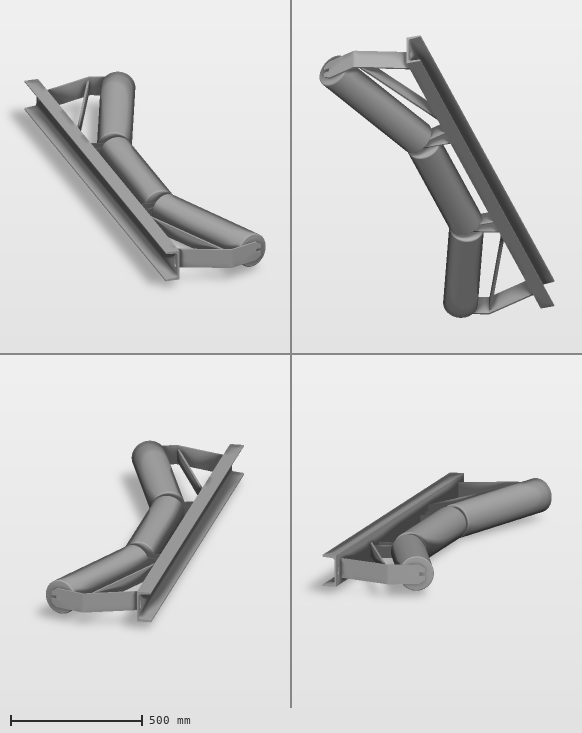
import cadquery as cq
import math


BEAM_LENGTH = 1700.0
BEAM_HEIGHT = 120.0
FLANGE_WIDTH = 55.0
WEB_THICKNESS = 7.0
FLANGE_THICKNESS = 9.0
FLANGE_SLOPE = 0.08
ROOT_RADIUS = 9.0
TIP_RADIUS = 4.5
MOUNT_SLOT_INSET = 30.0
MOUNT_SLOT_WIDTH = 18.0
MOUNT_SLOT_HEIGHT = 36.0

ROLLER_DIAMETER = 133.0
ROLLER_LENGTH = 535.0
ROLLER_EDGE_RADIUS = 5.0
SHAFT_DIAMETER = 20.0
SHAFT_FLAT_WIDTH = 14.0
ROLLER_GAP = 4.5
TROUGH_ANGLE = 20.0
TILT_ANGLE = 2.0
MIDDLE_ROLLER_Y = 118.0
MIDDLE_ROLLER_Z = -19.1
SIDE_ROLLER_END_X = 809.3
SIDE_ROLLER_END_Y = 307.8
SIDE_ROLLER_END_Z = 0.4

OUTER_WIDTH = 75.0
INNER_WIDTH = 50.0
OUTER_THICKNESS = 8.0
INNER_THICKNESS = 6.0
OUTER_REACH = 32.0
INNER_TOP_Y = 147.0
OUTER_EXTREME_X = 857.925
OUTER_BEND_RADIUS = 15.0
INNER_BEND_RADIUS = 9.0
TOP_CHAMFER_ALONG = 23.0
TOP_CHAMFER_ACROSS = 15.0
BRACE_THICKNESS = 8.0
BRACE_WIDTH = 50.0
BRACE_ANGLE = 23.5
BRACE_FOOT_X = 385.0

trough = math.radians(TROUGH_ANGLE)
tilt = math.radians(TILT_ANGLE)


def make_beam():
    half = BEAM_HEIGHT / 2
    mid_width = FLANGE_WIDTH / 2
    tip = half - FLANGE_THICKNESS + FLANGE_SLOPE * mid_width
    root = half - FLANGE_THICKNESS - FLANGE_SLOPE * (mid_width - WEB_THICKNESS)
    beam = (
        cq.Workplane("YZ")
        .polyline([
            (0, -half), (0, half), (-FLANGE_WIDTH, half), (-FLANGE_WIDTH, tip),
            (-WEB_THICKNESS, root), (-WEB_THICKNESS, -root),
            (-FLANGE_WIDTH, -tip), (-FLANGE_WIDTH, -half),
        ])
        .close()
        .extrude(BEAM_LENGTH / 2, both=True)
    )
    for side in (1, -1):
        beam = beam.edges(cq.NearestToPointSelector((0, -WEB_THICKNESS, side * root))).fillet(ROOT_RADIUS)
        beam = beam.edges(cq.NearestToPointSelector((0, -FLANGE_WIDTH, side * tip))).fillet(TIP_RADIUS)
    slot_x = BEAM_LENGTH / 2 - MOUNT_SLOT_INSET
    slots = (
        cq.Workplane("XZ")
        .pushPoints([(-slot_x, 0), (slot_x, 0)])
        .slot2D(MOUNT_SLOT_HEIGHT, MOUNT_SLOT_WIDTH, 90)
        .extrude(WEB_THICKNESS)
    )
    return beam.cut(slots)


middle_axis = cq.Plane(origin=(0, MIDDLE_ROLLER_Y, MIDDLE_ROLLER_Z))

inward = cq.Vector(
    math.cos(tilt) * math.cos(trough), -math.cos(tilt) * math.sin(trough), -math.sin(tilt)
)
plate_up = cq.Vector(math.sin(trough), math.cos(trough), 0)
side_end = cq.Vector(-SIDE_ROLLER_END_X, SIDE_ROLLER_END_Y, SIDE_ROLLER_END_Z)
side_centre = side_end + inward * (ROLLER_LENGTH / 2)
side_axis = cq.Plane(origin=side_centre, xDir=inward, normal=inward.cross(plate_up))


def flattened_shaft(start, length):
    """Round bar along local X from start, with two flats facing local +Z and -Z."""
    bar = cq.Workplane("YZ", origin=(start, 0, 0)).circle(SHAFT_DIAMETER / 2).extrude(length)
    flats = cq.Workplane("XY", origin=(start, 0, 0)).box(
        length, SHAFT_DIAMETER, SHAFT_FLAT_WIDTH, centered=(False, True, True)
    )
    return bar.intersect(flats)


def make_roller(axis, low_plate, high_plate):
    """Roller with its shaft, which ends flush with the plates of the given thicknesses."""
    low_end = -ROLLER_LENGTH / 2 - ROLLER_GAP - low_plate
    high_end = ROLLER_LENGTH / 2 + ROLLER_GAP + high_plate
    shell = (
        cq.Workplane("YZ", origin=(-ROLLER_LENGTH / 2, 0, 0))
        .circle(ROLLER_DIAMETER / 2)
        .extrude(ROLLER_LENGTH)
        .edges("not |X")
        .fillet(ROLLER_EDGE_RADIUS)
    )
    roller = shell.union(flattened_shaft(low_end, high_end - low_end))
    return cq.Workplane(roller.val().located(cq.Location(axis)))


def shaft_slot(axis, end_sign):
    """Open-topped slot for one flattened shaft end, with a bottom that fits the shaft."""
    reach = ROLLER_GAP + 2 * OUTER_THICKNESS
    middle = end_sign * (ROLLER_LENGTH + reach) / 2
    opening = cq.Workplane("XY", origin=(middle, 0, 0)).box(
        reach, ROLLER_DIAMETER, SHAFT_FLAT_WIDTH, centered=(True, False, True)
    )
    slot = flattened_shaft(middle - reach / 2, reach).union(opening)
    return cq.Workplane(slot.val().located(cq.Location(axis)))


below_beam_back = cq.Workplane("XY").box(2 * BEAM_LENGTH, BEAM_LENGTH, BEAM_LENGTH).translate(
    (0, -BEAM_LENGTH / 2, 0)
)


def bent_strip(face_path, thickness, width, bend_radius):
    """Strip whose outer face follows face_path, with the material on the left of the path."""
    path = [cq.Vector(*point) for point in face_path]
    normals = []
    for start, end in zip(path, path[1:]):
        along = (end - start).normalized()
        normals.append(cq.Vector(-along.y, along.x))
    back = [path[0] + normals[0] * thickness]
    for corner, before, after in zip(path[1:], normals, normals[1:]):
        back.append(corner + (before + after) * (thickness / (1 + before.dot(after))))
    back.append(path[-1] + normals[-1] * thickness)
    strip = cq.Workplane("XY").polyline([(p.x, p.y) for p in path + back[::-1]]).close()
    strip = strip.extrude(width / 2, both=True)
    for outside, inside in zip(path[1:-1], back[1:-1]):
        strip = strip.edges(cq.NearestToPointSelector(outside.toTuple())).fillet(bend_radius)
        strip = strip.edges(cq.NearestToPointSelector(inside.toTuple())).fillet(bend_radius - thickness)
    return strip.cut(below_beam_back)


def make_outer_bracket():
    axis_on_face = side_end - inward * (ROLLER_GAP + OUTER_THICKNESS)
    top = axis_on_face + plate_up * OUTER_REACH
    bend_x = -OUTER_EXTREME_X - OUTER_BEND_RADIUS * (1 / math.cos(trough) - 1)
    bend_y = top.y - (top.x - bend_x) / math.tan(trough)
    foot_y = -OUTER_BEND_RADIUS
    foot_x = bend_x + (bend_y - foot_y) * math.tan(trough)
    bracket = bent_strip(
        [(top.x, top.y), (bend_x, bend_y), (foot_x, foot_y)],
        OUTER_THICKNESS,
        OUTER_WIDTH,
        OUTER_BEND_RADIUS,
    )
    plate_plane = cq.Plane(
        origin=(top.x, top.y, 0), xDir=(0, 0, 1), normal=(-math.cos(trough), math.sin(trough), 0)
    )
    half = OUTER_WIDTH / 2
    for side in (1, -1):
        corner = (
            cq.Workplane(plate_plane)
            .polyline([
                (side * half, 0),
                (side * (half - TOP_CHAMFER_ACROSS), 0),
                (side * half, -TOP_CHAMFER_ALONG),
            ])
            .close()
            .extrude(2 * OUTER_THICKNESS, both=True)
        )
        bracket = bracket.cut(corner)
    return bracket.cut(shaft_slot(side_axis, -1))


def make_inner_bracket():
    middle_x = -ROLLER_LENGTH / 2 - ROLLER_GAP
    side_face = side_end + inward * (ROLLER_LENGTH + ROLLER_GAP)
    top_x = side_face.x + (INNER_TOP_Y - side_face.y) * math.tan(trough)
    foot_y = -INNER_BEND_RADIUS
    foot_x = top_x - (INNER_TOP_Y - foot_y) * math.tan(trough)
    bracket = bent_strip(
        [(middle_x, foot_y), (middle_x, INNER_TOP_Y), (top_x, INNER_TOP_Y), (foot_x, foot_y)],
        INNER_THICKNESS,
        INNER_WIDTH,
        INNER_BEND_RADIUS,
    ).translate((0, 0, MIDDLE_ROLLER_Z))
    return bracket.cut(shaft_slot(middle_axis, -1)).cut(shaft_slot(side_axis, 1))


def make_brace(outer_bracket):
    brace_angle = math.radians(BRACE_ANGLE)
    run = OUTER_EXTREME_X - OUTER_THICKNESS - BRACE_FOOT_X
    brace = (
        cq.Workplane("XY", origin=(-BRACE_FOOT_X, 0, 0))
        .transformed(rotate=(0, 0, -BRACE_ANGLE))
        .box(2 * run / math.cos(brace_angle), BRACE_THICKNESS, BRACE_WIDTH)
    )
    return brace.cut(below_beam_back).cut(outer_bracket)


beam = make_beam()
middle_roller = make_roller(middle_axis, INNER_THICKNESS, INNER_THICKNESS)
side_roller = make_roller(side_axis, OUTER_THICKNESS, INNER_THICKNESS)
outer_bracket = make_outer_bracket()
inner_bracket = make_inner_bracket()
brace = make_brace(outer_bracket)

bodies = [beam.val(), middle_roller.val()]
for body in (side_roller, outer_bracket, inner_bracket, brace):
    bodies.extend([body.val(), body.mirror("YZ").val()])

result = cq.Compound.makeCompound(bodies)